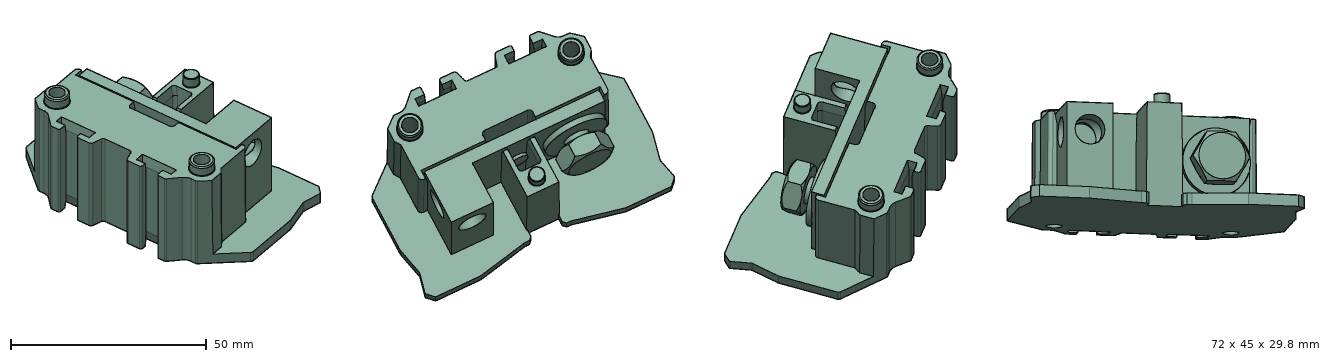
import cadquery as cq
import math

PLATE_TOP = 3.0
BODY_TOP = 27.0
BAR_TOP = 26.8
PEG_TOP = 29.8
FLARE_DEPTH = 3.0

HALF_LENGTH = 36.0
BACK_Y = 45.0
FRONT_Y = 3.95
FOOT_OUTER_Y = 0.0
FOOT_INNER_Y = 0.25
NOTCH_HALF = 4.45
POST_BACK_Y = 39.05

BODY_BACK_Y = 23.0
HIP_HALF = 28.3
HIP_Y = 10.35
SHOULDER_HALF = 27.2
SHOULDER_Y = 12.0
BODY_DRAFT = 0.2
BODY_CORNER_RADIUS = 1.1

BAR_HALF = 24.9
BAR_FRONT_Y = 21.1
BAR_BACK_Y = 24.5
LEG_INNER_X = 12.9
LEG_BACK_Y = 36.5
GROOVE_CLEARANCE = 0.6
LEG_HOLE_RADIUS = 3.85
LEG_HOLE_Z = 20.5
WIRE_HOLE_Z = 19.8

RELIEF_HALF = 7.1
RELIEF_FRONT_Y = 18.0
RELIEF_DRAFT = 0.35
RELIEF_CORNER = 1.0

SLOT_INNER_X = 8.0
SLOT_OUTER_X = 17.7
SLOT_BACK_Y = 4.0
LIP_INNER_X = 10.3
LIP_OUTER_X = 15.5
LIP_INNER_Y = 2.5
LIP_OUTER_Y = 2.9
SLOT_FLARE = 0.5
SLOT_BACK_FLARE = 0.6

POST_TOP_HALF = 4.5
POST_BASE_HALF = 4.75
POST_BEVEL = 0.7
POST_POCKET_BACK_Y = 32.2
POST_POCKET_HALF = 3.15
POST_POCKET_FLARE = 0.45
POST_POCKET_DRAFT = 0.42
POST_POCKET_BACK_LEAN = 0.7
POST_POCKET_CORNER = 0.9
POST_BUTTON_RADIUS = 2.6
POST_BUTTON_LENGTH = 0.9

BUSHING_X = 23.0
BUSHING_Y = 9.1
BUSHING_RADIUS = 3.25
BUSHING_BORE_RADIUS = 2.1
BUSHING_CHAMFER = 0.35
PEG_Y = 35.55
PEG_RADIUS = 2.1
PEG_CHAMFER = 0.2
ROOT_CHAMFER = 0.15

BOLT_X = -16.0
BOLT_Z = 14.85
WASHER_RADIUS = 8.8
WASHER_THICKNESS = 1.6
SHANK_RADIUS = 3.55
SHANK_LENGTH = 2.3
HEAD_FLATS = 12.9
HEAD_HEIGHT = 5.4
HEAD_CHAMFER_WIDTH = 1.4
HEAD_CHAMFER_HEIGHT = 1.1
SEAT_CHAMFER_WIDTH = 0.95
SEAT_CHAMFER_HEIGHT = 0.75


def mirrored(half):
    """Close a right-hand half outline with its mirror image about X = 0."""
    return half + [(-x, y) for x, y in reversed(half)]


def box_between(x0, x1, y0, y1, z0, z1):
    return cq.Workplane("XY").box(x1 - x0, y1 - y0, z1 - z0, centered=False).translate((x0, y0, z0))


def prism(points, z0, z1):
    return cq.Workplane("XY").workplane(offset=z0).polyline(points).close().extrude(z1 - z0)


def tapered(lower, upper, z0, z1):
    """Ruled solid between two outlines with matching corners."""
    return (
        cq.Workplane("XY").workplane(offset=z0).polyline(lower).close()
        .workplane(offset=z1 - z0).polyline(upper).close().loft(ruled=True)
    )


def cylinder_y(x, y, z, radius, length):
    return cq.Workplane("XZ", origin=(x, y, z)).circle(radius).extrude(-length)


def at_corner(x, y, z0, z1):
    """Selector for the vertical edges within a hair of one corner and its mirror image."""
    reach = 0.05
    right = cq.selectors.BoxSelector((x - reach, y - reach, z0 - reach), (x + reach, y + reach, z1 + reach))
    left = cq.selectors.BoxSelector((-x - reach, y - reach, z0 - reach), (-x + reach, y + reach, z1 + reach))
    return right + left


def footprint(height):
    """Full outline of the part, from the rail feet to the notched back edge."""
    valley = (4.5, FRONT_Y)
    foot_root = (5.6, FOOT_INNER_Y)
    inner_toe = (LIP_INNER_X, FOOT_INNER_Y)
    inner_lip = (LIP_INNER_X, LIP_INNER_Y)
    outer_lip_toe = (LIP_OUTER_X, FOOT_OUTER_Y)
    outer_toe = (18.2, FOOT_OUTER_Y)
    shoulder = (22.1, FRONT_Y)
    heel = (25.1, FRONT_Y)
    flank_low = (HALF_LENGTH, 13.25)
    flank_high = (HALF_LENGTH, 29.6)
    waist = (34.3, 37.35)
    ear = (35.6, 43.0)
    half = [
        valley,
        foot_root,
        inner_toe,
        inner_lip,
        (SLOT_INNER_X, LIP_INNER_Y),
        (SLOT_INNER_X, SLOT_BACK_Y),
        (SLOT_OUTER_X, SLOT_BACK_Y),
        (SLOT_OUTER_X, LIP_OUTER_Y),
        (LIP_OUTER_X, LIP_OUTER_Y),
        outer_lip_toe,
        outer_toe,
        shoulder,
        heel,
        flank_low,
        flank_high,
        waist,
        ear,
        (33.6, BACK_Y),
        (20.7, BACK_Y),
        (6.6, 41.95),
        (5.3, 41.95),
        (NOTCH_HALF, 41.1),
        (NOTCH_HALF, POST_BACK_Y),
    ]
    solid = prism(mirrored(half), 0, height)
    rounds = [
        (valley, 0.8),
        (foot_root, 0.9),
        (inner_toe, 0.6),
        (inner_lip, 0.4),
        (outer_lip_toe, 0.5),
        (outer_toe, 0.75),
        (shoulder, 3.0),
        (heel, 0.9),
        (flank_low, 1.0),
        (waist, 1.0),
        (ear, 0.5),
    ]
    for (x, y), radius in rounds:
        solid = solid.edges(at_corner(x, y, 0, height)).fillet(radius)
    return solid


def body_limits():
    """Drafted block that bounds the raised body above the plate."""
    def outline(inset):
        shoulder_x = SHOULDER_HALF - inset
        hip_x = HIP_HALF - inset
        return mirrored([
            (hip_x, FOOT_OUTER_Y),
            (hip_x, HIP_Y),
            (shoulder_x, SHOULDER_Y),
            (shoulder_x, BODY_BACK_Y),
        ])
    block = tapered(outline(0), outline(BODY_DRAFT), PLATE_TOP, BODY_TOP)
    return block.edges("not #Z").edges(">Y").fillet(BODY_CORNER_RADIUS)


def slot_flare(side, z_mouth, z_throat):
    """Widened mouth of one T-slot."""
    def outline(grow, back_grow):
        x0 = SLOT_INNER_X - grow
        x1 = SLOT_OUTER_X + grow
        y1 = SLOT_BACK_Y + back_grow
        return [
            (side * x0, LIP_INNER_Y - grow),
            (side * x0, y1),
            (side * x1, y1),
            (side * x1, LIP_OUTER_Y - grow),
            (side * LIP_OUTER_X, LIP_OUTER_Y - grow),
            (side * LIP_INNER_X, LIP_INNER_Y - grow),
        ]
    return tapered(outline(0, 0), outline(SLOT_FLARE, SLOT_BACK_FLARE), z_throat, z_mouth)


def rectangle(half, y0, y1):
    return [(-half, y0), (half, y0), (half, y1), (-half, y1)]


def groove_flare():
    """Widened mouth of the groove that holds the busbar."""
    throat = rectangle(BAR_HALF, BAR_FRONT_Y, BAR_BACK_Y)
    mouth = rectangle(BAR_HALF + GROOVE_CLEARANCE, BAR_FRONT_Y - GROOVE_CLEARANCE, BAR_BACK_Y)
    return tapered(throat, mouth, BODY_TOP - FLARE_DEPTH, BODY_TOP)


def relief_pocket():
    floor = rectangle(RELIEF_HALF - RELIEF_DRAFT, RELIEF_FRONT_Y + RELIEF_DRAFT, BAR_FRONT_Y)
    mouth = rectangle(RELIEF_HALF, RELIEF_FRONT_Y, BAR_FRONT_Y)
    pocket = tapered(floor, mouth, PLATE_TOP, BODY_TOP)
    return pocket.edges("not #Z").edges("<Y").fillet(RELIEF_CORNER)


def make_body():
    raised = footprint(BODY_TOP).intersect(body_limits())
    raised = raised.cut(box_between(-BAR_HALF, BAR_HALF, BAR_FRONT_Y, BAR_BACK_Y, PLATE_TOP, BODY_TOP))
    body = footprint(PLATE_TOP).union(raised).cut(groove_flare()).cut(relief_pocket())
    for side in (-1, 1):
        body = body.cut(slot_flare(side, BODY_TOP, BODY_TOP - FLARE_DEPTH))
        body = body.cut(slot_flare(side, 0, FLARE_DEPTH))
    return body


def make_busbar():
    bar = box_between(-BAR_HALF, BAR_HALF, BAR_FRONT_Y, BAR_BACK_Y, PLATE_TOP, BAR_TOP)
    leg = box_between(LEG_INNER_X, BAR_HALF, BAR_BACK_Y, LEG_BACK_Y, PLATE_TOP, BAR_TOP)
    screw_hole_y = BAR_BACK_Y + LEG_HOLE_RADIUS
    screw_hole = (
        cq.Workplane("YZ", origin=(LEG_INNER_X, screw_hole_y, LEG_HOLE_Z))
        .circle(LEG_HOLE_RADIUS).extrude(BAR_HALF - LEG_INNER_X)
    )
    wire_hole_x = (LEG_INNER_X + BAR_HALF) / 2
    wire_hole = cylinder_y(wire_hole_x, BAR_BACK_Y, WIRE_HOLE_Z, LEG_HOLE_RADIUS, LEG_BACK_Y - BAR_BACK_Y)
    return bar.union(leg.cut(screw_hole).cut(wire_hole))


def post_pocket():
    """Pocket open toward the busbar: side walls flare near the mouth, back wall leans evenly."""
    throat_z = BODY_TOP - FLARE_DEPTH
    throat_half = POST_POCKET_HALF - POST_POCKET_FLARE
    back_lean = POST_POCKET_BACK_LEAN / (BODY_TOP - PLATE_TOP)
    throat_back_y = POST_POCKET_BACK_Y - back_lean * FLARE_DEPTH
    floor_back_y = POST_POCKET_BACK_Y - POST_POCKET_BACK_LEAN
    floor = rectangle(throat_half - POST_POCKET_DRAFT, BAR_BACK_Y, floor_back_y)
    throat = rectangle(throat_half, BAR_BACK_Y, throat_back_y)
    mouth = rectangle(POST_POCKET_HALF, BAR_BACK_Y, POST_POCKET_BACK_Y)
    lower = tapered(floor, throat, PLATE_TOP, throat_z)
    upper = tapered(throat, mouth, throat_z, BODY_TOP)
    lower = lower.edges("not #Z").edges(">Y").fillet(POST_POCKET_CORNER)
    upper = upper.edges("not #Z").edges(">Y").fillet(POST_POCKET_CORNER)
    return lower.union(upper)


def make_post():
    base = rectangle(POST_BASE_HALF, BAR_BACK_Y, POST_BACK_Y)
    top = rectangle(POST_TOP_HALF, BAR_BACK_Y, POST_BACK_Y)
    post = tapered(base, top, 0, BODY_TOP)
    bevel = (
        cq.Workplane("YZ", origin=(-POST_BASE_HALF, 0, 0))
        .moveTo(BAR_BACK_Y, BODY_TOP - FLARE_DEPTH)
        .lineTo(BAR_BACK_Y + POST_BEVEL, BODY_TOP)
        .lineTo(BAR_BACK_Y, BODY_TOP)
        .close().extrude(2 * POST_BASE_HALF)
    )

    post = post.cut(bevel).cut(post_pocket())
    button = cylinder_y(0, BAR_BACK_Y, BOLT_Z, POST_BUTTON_RADIUS, POST_BUTTON_LENGTH)
    return post.union(button)


def make_peg(x, y, radius, top_chamfer):
    """Round stud on the top face with a chamfered rim and a small collar at its root."""
    profile = [
        (0, BODY_TOP),
        (radius + ROOT_CHAMFER, BODY_TOP),
        (radius, BODY_TOP + ROOT_CHAMFER),
        (radius, PEG_TOP - top_chamfer),
        (radius - top_chamfer, PEG_TOP),
        (0, PEG_TOP),
    ]
    return cq.Workplane("XZ").polyline(profile).close().revolve(360, (0, 0), (0, 1)).translate((x, y, 0))


def make_bolt():
    shank_y = BAR_BACK_Y + WASHER_THICKNESS
    head_y = shank_y + SHANK_LENGTH
    corner_radius = HEAD_FLATS / math.sqrt(3)
    washer = cylinder_y(BOLT_X, BAR_BACK_Y, BOLT_Z, WASHER_RADIUS, WASHER_THICKNESS)
    shank = cylinder_y(BOLT_X, shank_y, BOLT_Z, SHANK_RADIUS, SHANK_LENGTH)
    head = (
        cq.Workplane("XZ", origin=(BOLT_X, head_y, BOLT_Z))
        .polygon(6, 2 * corner_radius).extrude(-HEAD_HEIGHT)
    )
    rim_radius = corner_radius - HEAD_CHAMFER_WIDTH
    envelope_profile = [
        (0, 0),
        (corner_radius - SEAT_CHAMFER_WIDTH, 0),
        (corner_radius, SEAT_CHAMFER_HEIGHT),
        (corner_radius, HEAD_HEIGHT - HEAD_CHAMFER_HEIGHT),
        (rim_radius, HEAD_HEIGHT),
        (0, HEAD_HEIGHT),
    ]
    envelope = (
        cq.Workplane("XY").polyline(envelope_profile).close()
        .revolve(360, (0, 0), (0, 1)).translate((BOLT_X, head_y, BOLT_Z))
    )
    return washer.union(shank).union(head.intersect(envelope))


result = make_body().union(make_busbar()).union(make_post()).union(make_bolt())
result = result.union(make_peg(0, PEG_Y, PEG_RADIUS, PEG_CHAMFER))
for bushing_x in (-BUSHING_X, BUSHING_X):
    result = result.union(make_peg(bushing_x, BUSHING_Y, BUSHING_RADIUS, BUSHING_CHAMFER))
    bore = cq.Workplane("XY").center(bushing_x, BUSHING_Y).circle(BUSHING_BORE_RADIUS).extrude(PEG_TOP)
    result = result.cut(bore)